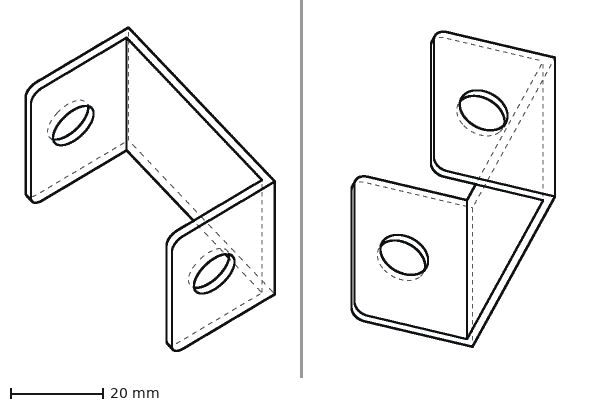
import cadquery as cq

width = 53.0
depth = 28.0
height = 40.0

wall = 2.0
corner_radius = 3.0
hole_diameter = 11.0
hole_to_front = 11.5

front_y = -depth / 2
hole_y = front_y + hole_to_front


def back_plate():
    """Web joining the two flanges along the rear (+Y) side."""
    return cq.Workplane("XY").box(width, wall, height).translate((0, depth / 2 - wall / 2, 0))


def flange(center_x):
    """Side plate with rounded free corners and a round through hole."""
    plate = cq.Workplane("XY").box(wall, depth, height)
    plate = plate.edges("|X and <Y").fillet(corner_radius)
    hole = (
        cq.Workplane("YZ")
        .center(hole_y, 0)
        .circle(hole_diameter / 2)
        .extrude(wall, both=True)
    )
    return plate.cut(hole).translate((center_x, 0, 0))


flange_x = (width - wall) / 2
result = back_plate()
for side in (-1, 1):
    result = result.union(flange(side * flange_x))